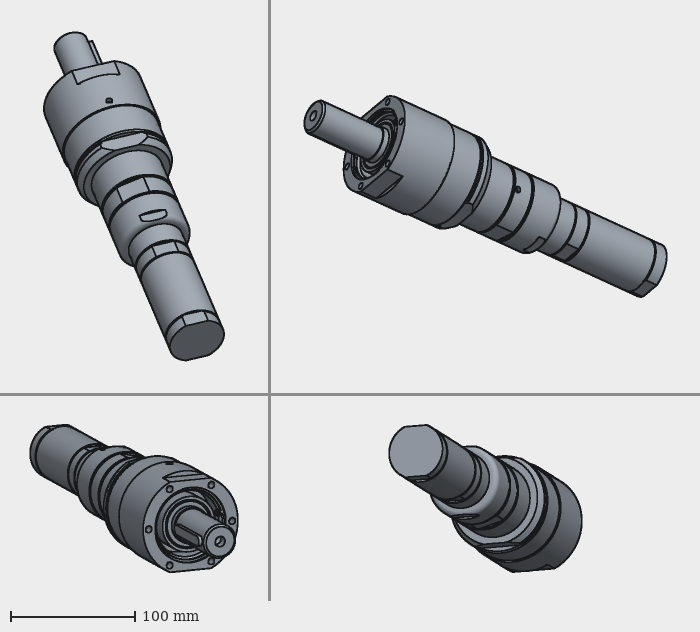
import cadquery as cq
import math

shaft_end = 59.5
body_start = 61.0
sleeve_start = 110.7
nut_start = 139.0
neck_start = 151.5
band_start = 179
band_end = 199
cap_flat_start = 218.7
tube_start = 227.8
collet_start = 247.0
collet_end = 259.2
tail_start = 325.7
total_length = 337.5

shaft_dia = 28.0
collar_dia = 30.0
body_dia = 83.0
sleeve_dia = 80.3
neck_dia = 60.0
tube_dia = 46.0

shaft_chamfer = 1.7
sleeve_chamfer = 1.5
nut_taper_length = 6.0
nut_taper_depth = 3.7
cap_round = 4.5

body_flat_length = 15.2
body_flat_width = 75.0
nut_flat_width = 70.2
band_flat_width = 55.5
cap_flat_width = 56.0
tube_flat_width = 42.0
band_tilt = 14.5

groove_width = 1.7
groove_depth = 0.7
tube_groove_width = 1.0
tube_groove_depth = 0.5

bore_dia = 62.0
bore_depth = 4.0
seat_dia = 54.7
seat_depth = 23.5
seat_chamfer = 2.0
boss_dia = 46.0
boss_setback = 3.7
seal_groove_outer_dia = 40.0
seal_groove_inner_dia = 37.8
seal_groove_depth = 1.5
ring_inner_dia = 58.0
ring_setback = 2.0
ring_thickness = 2.0
ring_gap = 10
lug_dia = 5.5
lug_hole_dia = 2.5
lug_circle_radius = 26.5
lug_angle = 16

drill_tip_angle = 118
bolt_count = 6
bolt_circle_radius = 36.5
bolt_hole_dia = 5.5
bolt_hole_depth = 10
center_hole_dia = 8.5
center_hole_depth = 8.5
screw_hole_dia = 5.0
screw_hole_depth = 4.0
body_screw_x = 104.3
band_screw_x = 183.5

key_start = 4.5
key_length = 51.0
key_width = 8.0
key_height = 7.0
key_top = 17


def rod(start, end, dia):
    """Solid cylinder on the X axis."""
    return cq.Workplane("YZ", origin=(start, 0, 0)).circle(dia / 2).extrude(end - start)


def tube_ring(start, end, outer_dia, inner_dia):
    """Hollow cylinder on the X axis."""
    return rod(start, end, outer_dia).cut(rod(start, end, inner_dia))


def flats(start, end, width, tilt=0):
    """Cutter that leaves two opposed flats, facing +Z and -Z before tilting about X."""
    length = end - start
    center = (start + end) / 2
    cutter = cq.Workplane("XY", origin=(center, 0, 0)).box(length, 2 * body_dia, 2 * body_dia)
    cutter = cutter.cut(cq.Workplane("XY", origin=(center, 0, 0)).box(length, 2 * body_dia, width))
    return cutter.rotate((0, 0, 0), (1, 0, 0), tilt)


def drill(start, depth, dia, y=0, z=0):
    """Blind drilling along +X with a conical bottom."""
    radius = dia / 2
    tip = radius / math.tan(math.radians(drill_tip_angle / 2))
    profile = [(0, 0), (0, radius), (depth, radius), (depth + tip, 0)]
    cutter = cq.Workplane("XY").polyline(profile).close().revolve(360, (0, 0, 0), (1, 0, 0))
    return cutter.translate((start, y, z))


def screw_hole(x, surface_dia, tilt=0):
    """Blind radial hole entering from +Z before tilting about X."""
    bottom = surface_dia / 2 - screw_hole_depth
    start = cq.Workplane("XY", origin=(x, 0, bottom))
    cutter = start.circle(screw_hole_dia / 2).extrude(2 * screw_hole_depth)
    return cutter.rotate((0, 0, 0), (1, 0, 0), tilt)


shaft = rod(0, shaft_end, shaft_dia).faces("<X").chamfer(shaft_chamfer)
collar = rod(shaft_end, body_start + seat_depth, collar_dia)
body = rod(body_start, sleeve_start, body_dia)
sleeve = rod(sleeve_start, nut_start, sleeve_dia).faces(">X").chamfer(sleeve_chamfer)
nut = rod(nut_start, neck_start, sleeve_dia).faces(">X").chamfer(nut_taper_length, nut_taper_depth)
neck = rod(neck_start, tube_start, neck_dia).faces(">X").edges().fillet(cap_round)
tube = rod(tube_start, total_length, tube_dia)

boss_face = body_start + boss_setback
bore_floor = body_start + bore_depth
seat_floor = body_start + seat_depth
seat = rod(bore_floor, seat_floor, seat_dia)
seat_mouth = (
    cq.Workplane("YZ", origin=(bore_floor, 0, 0))
    .circle(seat_dia / 2 + seat_chamfer)
    .workplane(offset=seat_chamfer)
    .circle(seat_dia / 2)
    .loft()
)
body = body.cut(rod(body_start, bore_floor, bore_dia)).cut(seat).cut(seat_mouth)
boss = rod(boss_face, seat_floor, boss_dia).cut(
    tube_ring(boss_face, boss_face + seal_groove_depth, seal_groove_outer_dia, seal_groove_inner_dia)
)

ring_start = body_start + ring_setback
ring_end = ring_start + ring_thickness
ring = tube_ring(ring_start, ring_end, bore_dia, ring_inner_dia)
gap_center = ((ring_start + ring_end) / 2, -bore_dia / 2, 0)
ring = ring.cut(cq.Workplane("XY", origin=gap_center).box(ring_thickness, bore_dia / 2, ring_gap))
lug_y = -lug_circle_radius * math.cos(math.radians(lug_angle))
for side in (-1, 1):
    lug_z = side * lug_circle_radius * math.sin(math.radians(lug_angle))
    ring = ring.union(rod(ring_start, ring_end, lug_dia).translate((0, lug_y, lug_z)))
    ring = ring.cut(rod(ring_start, ring_end, lug_hole_dia).translate((0, lug_y, lug_z)))

part = shaft
for section in (collar, body, boss, ring, sleeve, nut, neck, tube):
    part = part.union(section)

part = part.cut(flats(body_start, body_start + body_flat_length, body_flat_width))
part = part.cut(flats(nut_start, neck_start, nut_flat_width))
part = part.cut(flats(band_start + groove_width, band_end - groove_width, band_flat_width, band_tilt))
part = part.cut(flats(cap_flat_start, tube_start, cap_flat_width))
part = part.cut(flats(collet_start, collet_end, tube_flat_width))
part = part.cut(flats(tail_start, total_length, tube_flat_width))

for start, width, depth, dia in (
    (nut_start, groove_width, groove_depth, sleeve_dia),
    (band_start, groove_width, groove_depth, neck_dia),
    (band_end - groove_width, groove_width, groove_depth, neck_dia),
    (collet_start - tube_groove_width, tube_groove_width, tube_groove_depth, tube_dia),
    (collet_end, tube_groove_width, tube_groove_depth, tube_dia),
    (tail_start, tube_groove_width, tube_groove_depth, tube_dia),
):
    part = part.cut(tube_ring(start, start + width, dia, dia - 2 * depth))

for i in range(bolt_count):
    angle = 2 * math.pi * i / bolt_count
    hole_y = bolt_circle_radius * math.cos(angle)
    hole_z = bolt_circle_radius * math.sin(angle)
    part = part.cut(drill(body_start, bolt_hole_depth, bolt_hole_dia, hole_y, hole_z))
part = part.cut(drill(0, center_hole_depth, center_hole_dia))

part = part.cut(screw_hole(body_screw_x, body_dia))
part = part.cut(screw_hole(band_screw_x, neck_dia, 90 + band_tilt))

key = (
    cq.Workplane("XZ", origin=(key_start + key_length / 2, key_top, 0))
    .slot2D(key_length, key_width)
    .extrude(key_height)
)
result = part.union(key)